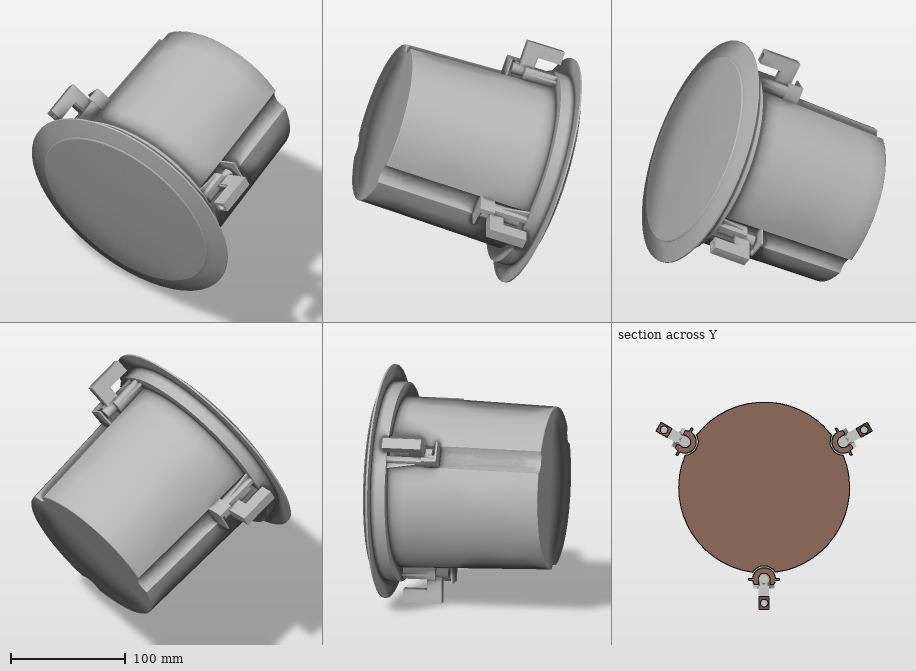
import cadquery as cq

MOUNT_ANGLES = (30, 150, 270)

overall_height = 208.5
flange_diameter = 204.0
flange_radius = flange_diameter / 2
flange_lip = 1.5
opening_radius = 85.0
flange_front_y = -6.5
collar_radius = 87.1
collar_back_y = 12.3
can_front_radius = 74.8
can_back_radius = 71.0
can_back_y = 145.0
can_edge_fillet = 0.6

grille_back_y = -4.2
grille_edge_y = -6.9
grille_rim_radius = 84.0
grille_rim_y = -7.5
grille_peak_y = -10.2

channel_radius = 11.7
channel_back_axis_r = 76.3
channel_front_axis_r = channel_back_axis_r + can_front_radius - can_back_radius

hub_axis_r = 79.6
hub_radius = 4.8
hub_back_y = 51.5
shank_radius = 3.8
shank_front_y = 17.5
arm_width = 9.2
arm_inner_r = 85.9
arm_outer_r = overall_height - flange_radius
arm_back_y = 45.7
arm_front_y = 33.8
foot_inner_r = 94.8
foot_front_y = 11.5
foot_hole_radius = 3.1
neck_width = 6.7
lip_front_y = 32.5

mount_half_width = 9.2
boss_radius = 10.0
boss_outer_r = 84.5
boss_back_y = 43.1
boss_step_y = 40.9
guard_outer_r = 88.0
guard_inner_r = 68.8
guard_bulge_t = -10.5
guard_back_y = 56.5
guard_plate = 1.5
guard_face_t = -1.3
guard_step_r = 85.7
guard_lip_t = -6.3
guard_bore_radius = 6.7
stop_inner_r = 70.0
stop_face_t = -0.5
stop_back_y = 49.2
gusset_r = 80.0
gusset_thickness = 2.0
gusset_back_y = 36.5
gusset_top_t = 10.6
gusset_foot_t = 14.5


def block(r_span, t_span, y_span):
    """Box given by its radial, tangential and axial limits."""
    sizes = [high - low for low, high in (r_span, y_span, t_span)]
    return cq.Workplane("XY").box(*sizes, centered=False).translate((r_span[0], y_span[0], t_span[0]))


def rod(radius, axis_r, y_span):
    """Cylinder parallel to Y."""
    front, back = y_span
    return cq.Workplane("XZ", origin=(axis_r, back, 0)).circle(radius).extrude(back - front)


def place(shape, angle):
    """Turn a shape built along +X to an angle measured from +X toward +Z."""
    return shape.rotate((0, 0, 0), (0, 1, 0), -angle)


def make_frame():
    """Flange, collar and tapered can, with the recess that holds the grille."""
    outline = (
        cq.Workplane("XY")
        .moveTo(0, grille_back_y)
        .lineTo(opening_radius, grille_back_y)
        .lineTo(opening_radius, flange_front_y)
        .lineTo(flange_radius, -flange_lip)
        .lineTo(flange_radius, 0)
        .lineTo(collar_radius, 0)
        .lineTo(collar_radius, collar_back_y)
        .lineTo(can_front_radius, collar_back_y)
        .lineTo(can_back_radius, can_back_y)
        .lineTo(0, can_back_y)
        .close()
    )
    frame = outline.revolve(360, (0, 0, 0), (0, 1, 0))
    return frame.faces(">Y").edges().fillet(can_edge_fillet)


def make_guard():
    """Back plate and side wall that shield one side of the hub, with a stop beside the hub."""
    plate = block(
        (guard_inner_r, guard_outer_r),
        (-mount_half_width, mount_half_width),
        (guard_back_y - guard_plate, guard_back_y),
    )
    wall = (
        cq.Workplane("XZ", origin=(0, guard_back_y, 0))
        .moveTo(guard_inner_r, -mount_half_width)
        .threePointArc((hub_axis_r, guard_bulge_t), (guard_outer_r, -mount_half_width))
        .lineTo(guard_outer_r, guard_lip_t)
        .lineTo(guard_step_r, -arm_width / 2)
        .lineTo(guard_step_r, guard_face_t)
        .lineTo(guard_inner_r, guard_face_t)
        .close()
        .extrude(guard_back_y - boss_back_y)
    )
    wall = wall.cut(rod(guard_bore_radius, hub_axis_r, (stop_back_y, guard_back_y - guard_plate)))
    stop = block(
        (stop_inner_r, guard_step_r),
        (-mount_half_width, stop_face_t),
        (boss_back_y, stop_back_y),
    )
    return plate.union(wall).union(stop)


def make_gussets():
    """Thin tapered web that props both sides of the boss on the collar."""
    web_points = [
        (collar_back_y, -gusset_foot_t),
        (collar_back_y, gusset_foot_t),
        (gusset_back_y, gusset_top_t),
        (gusset_back_y, -gusset_top_t),
    ]
    return (
        cq.Workplane("YZ", origin=(gusset_r - gusset_thickness / 2, 0, 0))
        .polyline(web_points)
        .close()
        .extrude(gusset_thickness)
    )


def make_mount():
    """Round boss with an outer flat, guard and gussets that carry one clamp."""
    y_span = (collar_back_y, boss_back_y)
    r_span = (hub_axis_r - boss_radius, hub_axis_r + boss_radius)
    outer_flat = block((boss_outer_r, r_span[1]), (-boss_radius, boss_radius), y_span)
    open_side_step = block(r_span, (stop_face_t, boss_radius), (boss_step_y, boss_back_y))
    boss = rod(boss_radius, hub_axis_r, y_span).cut(outer_flat).cut(open_side_step)
    return boss.union(make_guard()).union(make_gussets())


def make_hub_slot():
    """Bore for the clamp hub, open outward so that the arm can pass."""
    bore = rod(hub_radius, hub_axis_r, (collar_back_y, hub_back_y))
    opening = block(
        (hub_axis_r, guard_outer_r), (-hub_radius, hub_radius), (collar_back_y, arm_back_y)
    )
    return bore.union(opening)


def make_channel():
    """Round cutter for one channel, leaning outward toward the collar."""
    length = can_back_y - collar_back_y
    return (
        cq.Workplane("XZ", origin=(channel_back_axis_r, can_back_y, 0))
        .circle(channel_radius)
        .workplane(offset=length)
        .center(channel_front_axis_r - channel_back_axis_r, 0)
        .circle(channel_radius)
        .loft()
    )


def make_housing():
    """Frame with its channels and the three clamp mounts."""
    housing = make_frame()
    for angle in MOUNT_ANGLES:
        housing = housing.cut(place(make_channel(), angle))
        housing = housing.union(place(make_mount(), angle))
        housing = housing.cut(place(make_hub_slot(), angle))
    return housing


def make_grille():
    """Shallow domed disc with a bevelled rim."""
    dome_rise = grille_rim_y - grille_peak_y
    dome_radius = (grille_rim_radius**2 + dome_rise**2) / (2 * dome_rise)
    half_r = grille_rim_radius / 2
    half_y = grille_peak_y + dome_radius - (dome_radius**2 - half_r**2) ** 0.5
    outline = (
        cq.Workplane("XY")
        .moveTo(0, grille_back_y)
        .lineTo(opening_radius, grille_back_y)
        .lineTo(opening_radius, grille_edge_y)
        .lineTo(grille_rim_radius, grille_rim_y)
        .threePointArc((half_r, half_y), (0, grille_peak_y))
        .close()
    )
    return outline.revolve(360, (0, 0, 0), (0, 1, 0))


def make_clamp(angle):
    """Hub and shank with an L-shaped arm whose foot points to the front."""
    half_arm = (-arm_width / 2, arm_width / 2)
    half_neck = (-neck_width / 2, neck_width / 2)
    hub = rod(hub_radius, hub_axis_r, (lip_front_y, hub_back_y))
    shank = rod(shank_radius, hub_axis_r, (shank_front_y, lip_front_y))
    neck = block((hub_axis_r, arm_inner_r), half_neck, (arm_front_y, arm_back_y))
    lip = block((hub_axis_r, foot_inner_r), half_neck, (lip_front_y, arm_front_y))
    arm = block((arm_inner_r, arm_outer_r), half_arm, (arm_front_y, arm_back_y))
    foot = block((foot_inner_r, arm_outer_r), half_arm, (foot_front_y, arm_front_y))
    foot_hole = rod(foot_hole_radius, (foot_inner_r + arm_outer_r) / 2, (foot_front_y, arm_front_y))
    clamp = hub.union(shank).union(neck).union(lip).union(arm).union(foot).cut(foot_hole)
    return place(clamp, angle)


housing = make_housing()
grille = make_grille()
clamps = [make_clamp(angle) for angle in MOUNT_ANGLES]

result = cq.Compound.makeCompound(
    [housing.val(), grille.val(), *[clamp.val() for clamp in clamps]]
)